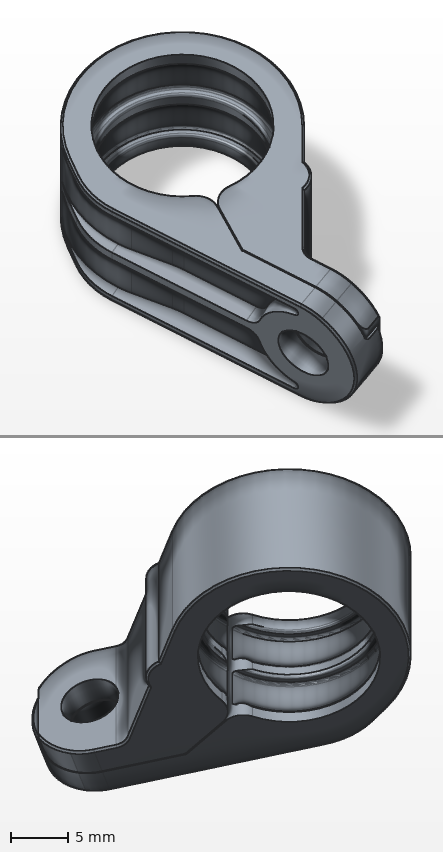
import cadquery as cq
import math


LENGTH = 36.01
HEIGHT = 21.93
WIDTH = 12.7
HALF_WIDTH = WIDTH / 2

RING_R = 10.62
BORE_R = 7.94
EDGE_CHAMFER = 0.2

TAB_END_X = LENGTH - RING_R
BASE_Y = RING_R - HEIGHT
TAB_TOP_Y = -6.24
TAB_END_R = 6.5
TAB_BLEND_R = 5.0
HOLE_X = 19.9
HOLE_R = 2.6

FLANK_ANGLE = 33.0
FLANK_FILLET_R = 1.5
BUMP_R = 2.25
BUMP_HEIGHT = 0.62
BUMP_ALONG_FLANK = 5.55
HEEL_R = 7.87

SPLIT_GAP = 0.1
SPLIT_Y = -8.85
SPLIT_CORNER_X = 11.95
SPLIT_ANGLE = 33.5
NOSE_R = 2.0

UPPER_TAB_END_X = 24.56
LIP_INNER_X = 24.66
LIP_HALF_WIDTH = 2.43
LIP_TOP_Y = -6.88
UPPER_TAB_ROUND = 0.8
LIP_ROOT_R = 0.5

GROOVE_DEPTH = 0.92
GROOVE_FILLET_R = 0.28
RIB_HALF_WIDTH = 0.46
END_LIP_WIDTH = 1.2

POCKET_DRAFT = 10.0
POCKET_INNER_Z = 0.49
POCKET_OUTER_Z = 5.54
POCKET_BOSS_R = 4.75
POCKET_WEB_R = 1.5
POCKET_TIP_R = 0.44
POCKET_DEPTH = 1.61
FLOOR_R = 11.35
FLOOR_ARC_DEPTH = 1.0
FLOOR_RAMP_START_X = 1.32
FLOOR_RAMP_FILLET_R = 10.0
POCKET_SWING = 75.0

CLEAR = 3.0


def point_on(center, radius, degrees):
    """Point on a circle at an angle measured counterclockwise from the first axis."""
    angle = math.radians(degrees)
    return (center[0] + radius * math.cos(angle), center[1] + radius * math.sin(angle))


def make_side_profile():
    """Outline in the XY plane, extruded over the full width."""
    flank_top = point_on((0, 0), RING_R, FLANK_ANGLE)
    slope = math.radians(FLANK_ANGLE)
    flank_foot_x = (RING_R - TAB_TOP_Y * math.sin(slope)) / math.cos(slope)

    heel_center = (0, BASE_Y + HEEL_R)
    heel_tilt = math.degrees(math.acos((RING_R - HEEL_R) / -heel_center[1]))
    heel_angle = 270 - heel_tilt
    ring_end = point_on((0, 0), RING_R, heel_angle)
    heel_start = point_on(heel_center, HEEL_R, heel_angle)
    heel_mid = point_on(heel_center, HEEL_R, (heel_angle + 270) / 2)

    outline = (
        cq.Workplane("XY")
        .workplane(offset=-HALF_WIDTH)
        .moveTo(*flank_top)
        .threePointArc(point_on((0, 0), RING_R, (FLANK_ANGLE + heel_angle) / 2), ring_end)
        .lineTo(*heel_start)
        .threePointArc(heel_mid, (0, BASE_Y))
        .lineTo(TAB_END_X + CLEAR, BASE_Y)
        .lineTo(TAB_END_X + CLEAR, TAB_TOP_Y)
        .lineTo(flank_foot_x, TAB_TOP_Y)
        .close()
        .extrude(WIDTH)
    )
    foot = cq.selectors.NearestToPointSelector((flank_foot_x, TAB_TOP_Y, 0))
    outline = outline.edges("|Z").edges(foot).fillet(FLANK_FILLET_R)

    bump_base = point_on((0, 0), RING_R + BUMP_HEIGHT - BUMP_R, FLANK_ANGLE)
    bump_center = point_on(bump_base, BUMP_ALONG_FLANK, FLANK_ANGLE - 90)
    bump = cq.Workplane("XY").center(*bump_center).circle(BUMP_R).extrude(HALF_WIDTH, both=True)
    return outline.union(bump)


def make_front_profile():
    """Outline in the XZ plane: straight flanks blended into a round tab end."""
    center_x = TAB_END_X - TAB_END_R
    blend_z = HALF_WIDTH - TAB_BLEND_R
    blend_dx = math.sqrt((TAB_END_R - TAB_BLEND_R) ** 2 - blend_z ** 2)
    blend_x = center_x + blend_dx
    end_angle = math.degrees(math.atan2(blend_z, blend_dx))
    top_end = point_on((center_x, 0), TAB_END_R, end_angle)
    top_mid = point_on((blend_x, blend_z), TAB_BLEND_R, (90 + end_angle) / 2)
    left_x = -RING_R - CLEAR
    return (
        cq.Workplane("XZ")
        .moveTo(left_x, HALF_WIDTH)
        .lineTo(blend_x, HALF_WIDTH)
        .threePointArc(top_mid, top_end)
        .threePointArc((TAB_END_X, 0), (top_end[0], -top_end[1]))
        .threePointArc((top_mid[0], -top_mid[1]), (blend_x, -HALF_WIDTH))
        .lineTo(left_x, -HALF_WIDTH)
        .close()
        .extrude(2 * RING_R, both=True)
    )


def make_body():
    """Solid blank with its outer rim chamfered."""
    blank = make_side_profile().intersect(make_front_profile())
    return blank.edges("not(|Y or |Z)").chamfer(EDGE_CHAMFER)


def make_bore():
    """Bore with two grooves whose corners are rounded."""
    bore = cq.Workplane("XY").circle(BORE_R).extrude(HALF_WIDTH, both=True)
    r = GROOVE_FILLET_R
    groove_r = BORE_R + GROOVE_DEPTH
    low = RIB_HALF_WIDTH
    high = HALF_WIDTH - END_LIP_WIDTH
    diag = r * math.sqrt(0.5)
    groove = (
        cq.Workplane("XZ")
        .moveTo(0, low)
        .lineTo(BORE_R, low)
        .threePointArc((BORE_R + r - diag, low + diag), (BORE_R + r, low + r))
        .lineTo(groove_r - r, low + r)
        .threePointArc((groove_r - r + diag, low + 2 * r - diag), (groove_r, low + 2 * r))
        .lineTo(groove_r, high - 2 * r)
        .threePointArc((groove_r - r + diag, high - 2 * r + diag), (groove_r - r, high - r))
        .lineTo(BORE_R + r, high - r)
        .threePointArc((BORE_R + r - diag, high - diag), (BORE_R, high))
        .lineTo(0, high)
        .close()
        .revolve(360, (0, 0, 0), (0, 1, 0))
    )
    return bore.union(groove).union(groove.mirror("XY"))


def make_split():
    """Thin gap between the jaws, flaring into the bore between two round noses."""
    half_gap = SPLIT_GAP / 2
    tilt = math.radians(SPLIT_ANGLE)
    normal = (math.sin(tilt), math.cos(tilt))
    corner_level = normal[0] * SPLIT_CORNER_X + normal[1] * SPLIT_Y
    corner_shift = half_gap * math.tan(tilt / 2)

    def nose_arc(side):
        """Arc tangent to the bore and to the sloping gap wall; side is +1 for the upper jaw."""
        level = corner_level + side * (half_gap + NOSE_R)
        distance = BORE_R + NOSE_R
        bearing = math.degrees(math.asin(level / distance)) - SPLIT_ANGLE
        center = point_on((0, 0), distance, bearing)
        bore_touch = point_on((0, 0), BORE_R, bearing)
        normal_angle = 90 - SPLIT_ANGLE
        to_bore = bearing + 180
        to_wall = normal_angle + 180 if side > 0 else normal_angle
        middle = point_on(center, NOSE_R, (to_bore + to_wall) / 2)
        return bore_touch, middle, point_on(center, NOSE_R, to_wall)

    upper_touch, upper_middle, upper_wall = nose_arc(1)
    lower_touch, lower_middle, lower_wall = nose_arc(-1)
    return (
        cq.Workplane("XY")
        .moveTo(*upper_touch)
        .threePointArc(upper_middle, upper_wall)
        .lineTo(SPLIT_CORNER_X + corner_shift, SPLIT_Y + half_gap)
        .lineTo(UPPER_TAB_END_X, SPLIT_Y + half_gap)
        .lineTo(UPPER_TAB_END_X, SPLIT_Y - half_gap)
        .lineTo(SPLIT_CORNER_X - corner_shift, SPLIT_Y - half_gap)
        .lineTo(*lower_wall)
        .threePointArc(lower_middle, lower_touch)
        .close()
        .extrude(HALF_WIDTH, both=True)
    )


def make_tab_end_cut():
    """Space beyond the upper jaw, leaving a lip with flared roots on the lower jaw."""
    floor_y = SPLIT_Y - SPLIT_GAP / 2
    end_x = TAB_END_X + CLEAR
    height = TAB_TOP_Y + CLEAR - floor_y
    space = (
        cq.Workplane("XY")
        .box(end_x - UPPER_TAB_END_X, height, WIDTH, centered=(False, False, True))
        .translate((UPPER_TAB_END_X, floor_y, 0))
    )
    r = LIP_ROOT_R
    z = LIP_HALF_WIDTH
    bulge = r * (1 - math.sqrt(0.5))
    lip = (
        cq.Workplane("YZ")
        .workplane(offset=LIP_INNER_X)
        .moveTo(LIP_TOP_Y, -z)
        .lineTo(LIP_TOP_Y, z)
        .lineTo(floor_y + r, z)
        .threePointArc((floor_y + bulge, z + bulge), (floor_y, z + r))
        .lineTo(floor_y, -z - r)
        .threePointArc((floor_y + bulge, -z - bulge), (floor_y + r, -z))
        .close()
        .extrude(end_x - LIP_INNER_X)
    )
    r = UPPER_TAB_ROUND
    center = (UPPER_TAB_END_X - r, SPLIT_Y + SPLIT_GAP / 2 + r)
    rounding = (
        cq.Workplane("XY")
        .moveTo(center[0], center[1] - r)
        .threePointArc(point_on(center, r, -45), (UPPER_TAB_END_X, center[1]))
        .lineTo(UPPER_TAB_END_X, center[1] - r)
        .close()
        .extrude(HALF_WIDTH, both=True)
    )
    return space.cut(lip).union(rounding)


def make_floor_region():
    """Everything outside the pocket floor: round the heel, up a ramp, then flat."""
    center = (0, BASE_Y + FLOOR_ARC_DEPTH + FLOOR_R)
    ramp = math.asin(FLOOR_RAMP_START_X / FLOOR_R)
    ramp_start = point_on(center, FLOOR_R, 270 + math.degrees(ramp))
    flat_y = BASE_Y + POCKET_DEPTH
    ramp_end_x = ramp_start[0] + (flat_y - ramp_start[1]) / math.tan(ramp)
    left = point_on(center, FLOOR_R, 180)
    region = (
        cq.Workplane("XY")
        .workplane(offset=-HALF_WIDTH)
        .moveTo(*left)
        .threePointArc(point_on(center, FLOOR_R, 225), ramp_start)
        .lineTo(ramp_end_x, flat_y)
        .lineTo(TAB_END_X, flat_y)
        .lineTo(TAB_END_X, BASE_Y - CLEAR)
        .lineTo(left[0], BASE_Y - CLEAR)
        .close()
        .extrude(WIDTH)
    )
    ramp_end = cq.selectors.NearestToPointSelector((ramp_end_x, flat_y, 0))
    return region.edges("|Z").edges(ramp_end).fillet(FLOOR_RAMP_FILLET_R), center


def make_pocket():
    """Drafted pocket on the +Z side of the web, ending at the boss around the hole."""
    floor_region, floor_center = make_floor_region()
    hole = (HOLE_X, 0)
    web_z = POCKET_INNER_Z + POCKET_WEB_R
    web_reach = POCKET_BOSS_R + POCKET_WEB_R
    web_x = HOLE_X - math.sqrt(web_reach ** 2 - web_z ** 2)
    web_angle = math.degrees(math.atan2(-web_z, HOLE_X - web_x))
    tip_z = POCKET_OUTER_Z - POCKET_TIP_R
    tip_reach = POCKET_BOSS_R + POCKET_TIP_R
    tip_x = HOLE_X - math.sqrt(tip_reach ** 2 - tip_z ** 2)
    tip_angle = math.degrees(math.atan2(-tip_z, HOLE_X - tip_x))
    web_join = point_on((web_x, web_z), POCKET_WEB_R, web_angle)
    tip_join = point_on((tip_x, tip_z), POCKET_TIP_R, tip_angle)
    boss_mid = point_on(hole, POCKET_BOSS_R, 180 + (web_angle + tip_angle) / 2)

    straight = (
        cq.Workplane("XZ", origin=(0, BASE_Y, 0))
        .moveTo(-CLEAR, POCKET_INNER_Z)
        .lineTo(web_x, POCKET_INNER_Z)
        .threePointArc(point_on((web_x, web_z), POCKET_WEB_R, (web_angle - 90) / 2), web_join)
        .threePointArc(boss_mid, tip_join)
        .threePointArc(
            point_on((tip_x, tip_z), POCKET_TIP_R, (tip_angle + 90) / 2), (tip_x, POCKET_OUTER_Z)
        )
        .lineTo(-CLEAR, POCKET_OUTER_Z)
        .close()
        .extrude(-POCKET_DEPTH, taper=POCKET_DRAFT)
    )
    tab_side = cq.Workplane("XY").box(TAB_END_X, 4 * RING_R, WIDTH, centered=(False, True, True))
    straight = straight.intersect(tab_side)

    inset = FLOOR_ARC_DEPTH * math.tan(math.radians(POCKET_DRAFT))
    rim_r = FLOOR_R + FLOOR_ARC_DEPTH
    swung = (
        cq.Workplane("YZ", origin=(0, floor_center[1], 0))
        .moveTo(-FLOOR_R, POCKET_INNER_Z + inset)
        .lineTo(-rim_r, POCKET_INNER_Z)
        .lineTo(-rim_r, POCKET_OUTER_Z)
        .lineTo(-FLOOR_R, POCKET_OUTER_Z - inset)
        .close()
        .revolve(POCKET_SWING, (0, 0, 0), (0, -1, 0))
    )
    return straight.intersect(floor_region).union(swung)


def make_part():
    """Finished clamp: blank minus bore, split, tab end, bolt hole and pockets."""
    hole = cq.Workplane("XZ").center(HOLE_X, 0).circle(HOLE_R).extrude(2 * RING_R, both=True)
    part = make_body().cut(make_bore()).cut(make_split()).cut(make_tab_end_cut()).cut(hole)
    lip_rim = cq.selectors.NearestToPointSelector((TAB_END_X, LIP_TOP_Y, 0))
    part = part.edges(lip_rim).chamfer(EDGE_CHAMFER)
    pocket = make_pocket()
    return part.cut(pocket).cut(pocket.mirror("XY"))


result = make_part()